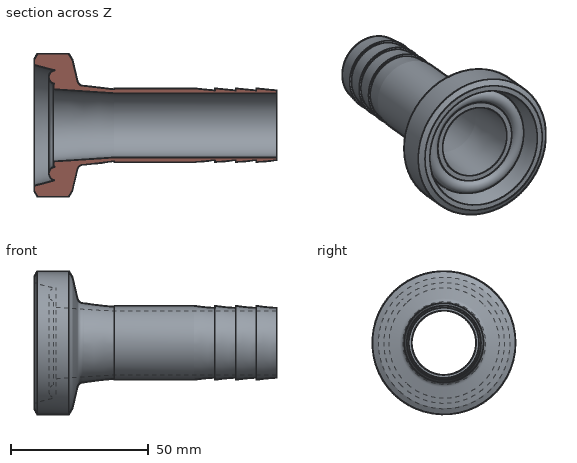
import cadquery as cq
import math

TOTAL_LENGTH = 88.0
COLLAR_END = 12.6
NECK_START = 18.0
NECK_END = 29.0
BARB_COUNT = 4
BARB_PITCH = 7.5
BARREL_END = TOTAL_LENGTH - BARB_COUNT * BARB_PITCH

BARREL_RADIUS = 26.9 / 2
NECK_START_RADIUS = 14.4
NECK_END_RADIUS = 13.1
BARB_ROOT_RADIUS = 12.7
BORE_RADIUS = 23.2 / 2
BORE_MOUTH_RADIUS = 13.05

COLLAR_RADIUS = 52.0 / 2
FACE_OUTER_RADIUS = 23.85
FACE_CHAMFER_LENGTH = 1.15
BEVEL_END = 13.95
BEVEL_END_RADIUS = 23.75
BACK_CONE_END = 15.8
BACK_CONE_END_RADIUS = 16.0

SEAT_DEPTH = 7.0
SEAT_ANGLE = 15.0
RING_INNER_RADIUS = 30.0 / 2
RING_SECTION_RADIUS = 2.5
RING_CENTRE = 7.8
RING_MEAN_RADIUS = RING_INNER_RADIUS + RING_SECTION_RADIUS
RING_OUTER_RADIUS = RING_MEAN_RADIUS + RING_SECTION_RADIUS
SEAT_MOUTH_RADIUS = RING_OUTER_RADIUS + SEAT_DEPTH * math.tan(math.radians(SEAT_ANGLE))


def add_collar(outline):
    """Collar from its front face to the bottom of the fillet into the neck."""
    return (
        outline.lineTo(0, FACE_OUTER_RADIUS)
        .lineTo(FACE_CHAMFER_LENGTH, COLLAR_RADIUS)
        .lineTo(COLLAR_END, COLLAR_RADIUS)
        .lineTo(BEVEL_END, BEVEL_END_RADIUS)
        .lineTo(BACK_CONE_END, BACK_CONE_END_RADIUS)
        .tangentArcPoint((NECK_START, NECK_START_RADIUS), relative=False)
    )


def add_neck_and_barrel(outline):
    """Tapered neck, small step and plain barrel."""
    return (
        outline.lineTo(NECK_END, NECK_END_RADIUS)
        .lineTo(NECK_END, BARREL_RADIUS)
        .lineTo(BARREL_END, BARREL_RADIUS)
    )


def add_barbs(outline):
    """Barbs that taper toward the hose end, each stepping back up to the barrel radius."""
    for index in range(BARB_COUNT):
        barb_start = BARREL_END + index * BARB_PITCH
        if index > 0:
            outline = outline.lineTo(barb_start, BARREL_RADIUS)
        outline = outline.lineTo(barb_start + BARB_PITCH, BARB_ROOT_RADIUS)
    return outline


def add_bore(outline):
    """Straight bore from the hose end, then the tapered entry up to the seat floor."""
    return (
        outline.lineTo(TOTAL_LENGTH, BORE_RADIUS)
        .lineTo(NECK_END, BORE_RADIUS)
        .lineTo(SEAT_DEPTH, BORE_MOUTH_RADIUS)
    )


def add_sealing_ring(outline):
    """Half-round ring in the seat floor, from the inner lip to the foot of the seat cone."""
    return (
        outline.lineTo(SEAT_DEPTH, RING_INNER_RADIUS)
        .lineTo(RING_CENTRE, RING_INNER_RADIUS)
        .threePointArc(
            (RING_CENTRE - RING_SECTION_RADIUS, RING_MEAN_RADIUS),
            (RING_CENTRE, RING_OUTER_RADIUS),
        )
        .lineTo(SEAT_DEPTH, RING_OUTER_RADIUS)
    )


section = cq.Workplane("XY").moveTo(0, SEAT_MOUTH_RADIUS)
section = add_collar(section)
section = add_neck_and_barrel(section)
section = add_barbs(section)
section = add_bore(section)
section = add_sealing_ring(section).close()

result = section.revolve(360, (0, 0, 0), (1, 0, 0))